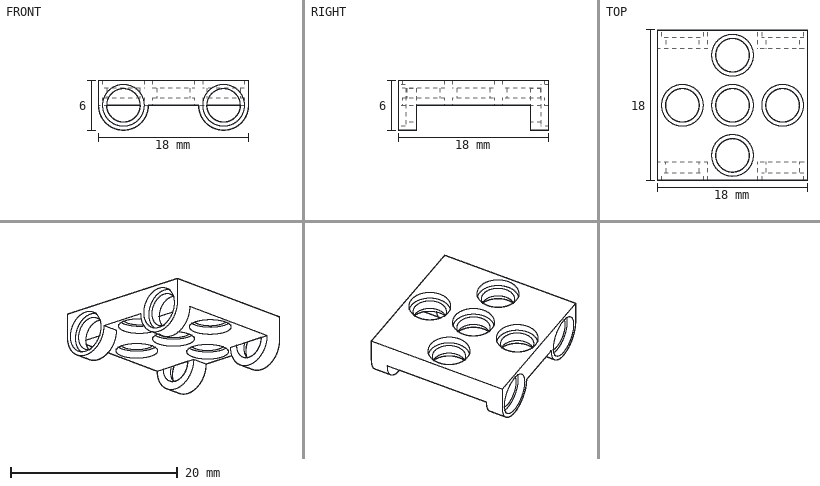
import cadquery as cq

side = 18.0
pitch = side / 3
plate_thickness = pitch / 2
ear_thickness = 2.2
bore_diameter = 4.0
recess_diameter = 5.0
recess_depth = 0.9

ear_radius = pitch / 2
half_side = side / 2

plate = cq.Workplane("XY").box(side, side, plate_thickness, centered=(True, True, False))


def cylinder_along_y(x, y_start, diameter, length):
    """Cylinder centred on the plate's underside, running in +Y from y_start."""
    return cq.Workplane("XZ", origin=(x, y_start, 0)).circle(diameter / 2).extrude(-length)


result = plate
for x in (-pitch, pitch):
    for ear_start, recess_start in (
        (-half_side, -half_side),
        (half_side - ear_thickness, half_side - recess_depth),
    ):
        ear = cylinder_along_y(x, ear_start, 2 * ear_radius, ear_thickness)
        bore = cylinder_along_y(x, ear_start, bore_diameter, ear_thickness)
        recess = cylinder_along_y(x, recess_start, recess_diameter, recess_depth)
        result = result.union(ear).cut(bore).cut(recess)

hole_centres = [(0, 0), (-pitch, 0), (pitch, 0), (0, -pitch), (0, pitch)]


def vertical_cylinders(z_start, diameter, length):
    """One upright cylinder at each hole centre, rising from z_start."""
    return (
        cq.Workplane("XY", origin=(0, 0, z_start))
        .pushPoints(hole_centres)
        .circle(diameter / 2)
        .extrude(length)
    )


result = result.cut(vertical_cylinders(0, bore_diameter, plate_thickness))
for recess_start in (0, plate_thickness - recess_depth):
    result = result.cut(vertical_cylinders(recess_start, recess_diameter, recess_depth))